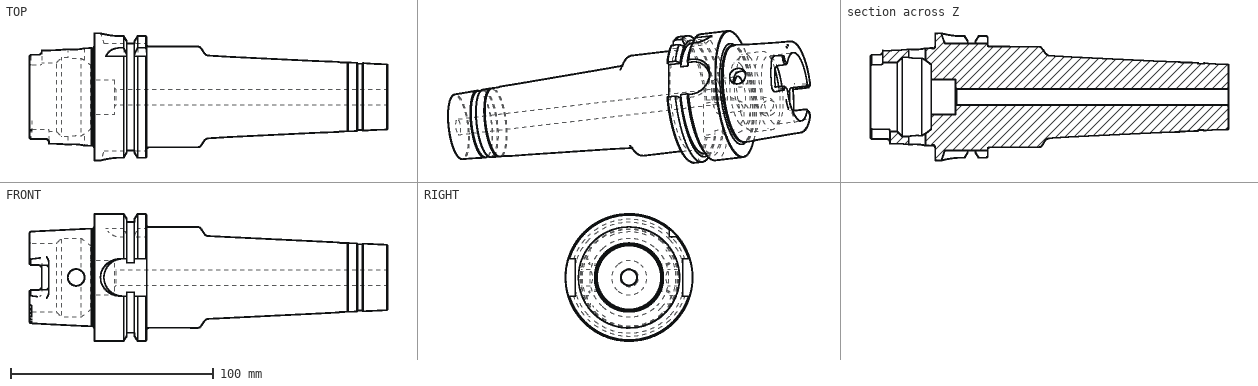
import cadquery as cq
import math


shank_length = 32.0
shank_gauge_radius = 24.0
shank_gauge_x = -6.3
shank_slope = 0.05
mouth_round = 1.1
shank_taper_end_x = -2.2
relief_radius = 23.9
relief_start_x = -1.4
relief_end_x = -0.6
relief_flank = 0.2
relief_face_radius = 25.1

flange_radius = 31.5
flange_edge_chamfer = 0.25
flange_length = 26.0
groove_center_x = 18.0
groove_floor_radius = 27.5
groove_floor_width = 3.75
groove_wall_radius = 29.0
groove_mouth_width = 6.9
flange_back_chamfer = 0.6

neck_radius = 25.0
neck_root_round = 0.8
shoulder_start_x = 52.2
shoulder_end_x = 55.2
shoulder_top_round = 2.0
shoulder_root_round = 2.0

nose_end_x = 145.01
nose_base_radius = 20.6
nose_tip_radius = 16.2
nose_tip_chamfer = 0.4
band_start_x = 120.6
band_step_length = 0.9
band_start_radius = 17.15
band_end_radius = 16.95
ring_groove_x = 125.2
ring_groove_width = 0.5
ring_groove_depth = 0.25
wide_groove_start_x = 129.8
wide_groove_end_x = 132.6
wide_groove_flank = 0.4
wide_groove_radius = 16.45

bore_radius = 17.0
bore_lip_end_x = -18.8
clamp_groove_radius = 19.5
clamp_groove_start_x = -16.3
clamp_groove_end_x = -6.6
bore_floor_radius = 15.95
bore_floor_x = -2.0
tube_seat_radius = 8.6
tube_seat_depth = 12.0
channel_radius = 3.9
channel_chamfer = 0.6

access_hole_radius = 4.1
access_hole_x = -8.9

slot_half_width = 6.1
slot_edge_round = 3.0
slot_crest_radius = 23.06
slot_end_round = 1.6
slot_mouth_chamfer = 0.7
front_slot_end_x = -22.4
rear_slot_end_x = -26.0

keyway_half_width = 9.2
keyway_floor_y = 26.5
keyway_outer_center_x = 12.3
keyway_floor_center_x = 14.0

notch_wall_y = 20.0
notch_floor_z = 20.1
notch_end_radius = 8.0
notch_center_x = 12.8

clearance = 5.0


def shank_radius(x):
    return shank_gauge_radius + shank_slope * (x - shank_gauge_x)


def nose_radius(x):
    share = (x - shoulder_end_x) / (nose_end_x - shoulder_end_x)
    return nose_base_radius + share * (nose_tip_radius - nose_base_radius)


def ring_edge(body, x, radius):
    """The circular edge of the given radius at position x along the axis."""
    tolerance = 0.01
    low = (x - tolerance, -tolerance, -tolerance)
    high = (x + tolerance, tolerance, tolerance)
    rings = body.edges("%CIRCLE").edges(cq.selectors.BoxSelector(low, high))
    return rings.filter(lambda edge: abs(edge.radius() - radius) < tolerance)


def revolve_outline(points):
    """Solid of revolution about X from (x, radius) points."""
    return cq.Workplane("XZ").polyline(points).close().revolve(360, (0, 0, 0), (1, 0, 0))


def groove_points():
    half_mouth = groove_mouth_width / 2
    half_floor = groove_floor_width / 2
    left = [
        (-half_mouth, flange_radius),
        (-half_floor, groove_wall_radius),
        (-half_floor, groove_floor_radius),
    ]
    right = [(-x, radius) for x, radius in reversed(left)]
    return [(groove_center_x + x, radius) for x, radius in left + right]


def make_body():
    land_radius = shank_radius(shank_taper_end_x)
    band_top_x = band_start_x + band_step_length
    tip_flank_x = wide_groove_end_x + wide_groove_flank
    outline = [
        (-shank_length, 0),
        (-shank_length, shank_radius(-shank_length)),
        (shank_taper_end_x, land_radius),
        (relief_start_x, land_radius),
        (relief_start_x + relief_flank, relief_radius),
        (relief_end_x, relief_radius),
        (0, relief_face_radius),
        (0, flange_radius),
        *groove_points(),
        (flange_length, flange_radius),
        (flange_length, neck_radius),
        (shoulder_start_x, neck_radius),
        (shoulder_end_x, nose_base_radius),
        (band_start_x, nose_radius(band_start_x)),
        (band_top_x, band_start_radius),
        (wide_groove_start_x, band_end_radius),
        (wide_groove_start_x + wide_groove_flank, wide_groove_radius),
        (wide_groove_end_x, wide_groove_radius),
        (tip_flank_x, nose_radius(tip_flank_x)),
        (nose_end_x, nose_tip_radius),
        (nose_end_x, 0),
    ]
    body = revolve_outline(outline)
    mouth_radius = shank_radius(-shank_length)
    body = ring_edge(body, -shank_length, mouth_radius).fillet(mouth_round)
    body = ring_edge(body, 0, flange_radius).chamfer(flange_edge_chamfer)
    body = ring_edge(body, flange_length, flange_radius).chamfer(flange_back_chamfer)
    body = ring_edge(body, flange_length, neck_radius).fillet(neck_root_round)
    body = ring_edge(body, shoulder_start_x, neck_radius).fillet(shoulder_top_round)
    body = ring_edge(body, shoulder_end_x, nose_base_radius).fillet(shoulder_root_round)
    return ring_edge(body, nose_end_x, nose_tip_radius).chamfer(nose_tip_chamfer)


def make_ring_groove():
    outer = band_start_radius + clearance
    floor = band_start_radius - ring_groove_depth
    ring = cq.Workplane("YZ").workplane(offset=ring_groove_x).circle(outer).circle(floor)
    return ring.extrude(ring_groove_width)


def make_bore():
    seat_end_x = bore_floor_x + tube_seat_depth
    return revolve_outline([
        (-shank_length, 0),
        (-shank_length, bore_radius),
        (bore_lip_end_x, bore_radius),
        (clamp_groove_start_x, clamp_groove_radius),
        (clamp_groove_end_x, clamp_groove_radius),
        (bore_floor_x, bore_floor_radius),
        (bore_floor_x, tube_seat_radius),
        (seat_end_x, tube_seat_radius),
        (seat_end_x, channel_radius + channel_chamfer),
        (seat_end_x + channel_chamfer, channel_radius),
        (nose_end_x, channel_radius),
        (nose_end_x, 0),
    ])


def make_access_hole():
    hole = cq.Workplane("XZ").center(access_hole_x, 0).circle(access_hole_radius)
    return hole.extrude(flange_radius, both=True)


def slot_profile(plane, growth):
    """Section of a -Y drive slot: straight walls whose outer edges are rounded over.

    growth widens the section by offsetting its walls and rounded edges into the material.
    """
    wall = slot_half_width + growth
    edge_round = slot_edge_round - growth
    round_z = slot_half_width + slot_edge_round
    crest_distance = slot_crest_radius - slot_edge_round
    round_y = math.sqrt(crest_distance**2 - round_z**2)
    run_angle = math.atan2(round_z, round_y)
    mid_angle = (run_angle - math.pi / 2) / 2

    def on_round(angle):
        return (round_y + edge_round * math.cos(angle), round_z + edge_round * math.sin(angle))

    mid_y, mid_z = on_round(mid_angle)
    run_y, run_z = on_round(run_angle)
    far_z = flange_radius
    far_y = run_y - (far_z - run_z) * math.tan(run_angle)
    return (
        plane.moveTo(0, -wall)
        .lineTo(-round_y, -wall)
        .threePointArc((-mid_y, -mid_z), (-run_y, -run_z))
        .lineTo(-far_y, -far_z)
        .lineTo(-flange_radius, -far_z)
        .lineTo(-flange_radius, far_z)
        .lineTo(-far_y, far_z)
        .lineTo(-run_y, run_z)
        .threePointArc((-mid_y, mid_z), (-round_y, wall))
        .lineTo(0, wall)
        .close()
    )


def make_drive_slot(end_x):
    """Cutter for a drive slot on the -Y side, running from the mouth to end_x."""
    mouth = cq.Workplane("YZ").workplane(offset=-shank_length)
    slot = slot_profile(mouth, 0).extrude(end_x + shank_length)
    slot = slot.faces(">X").edges().fillet(slot_end_round)
    flare = slot_profile(mouth, slot_mouth_chamfer)
    flare = slot_profile(flare.workplane(offset=slot_mouth_chamfer), 0).loft(ruled=True)
    return slot.union(flare)


def make_keyway():
    """Cutter for the -Y keyway: its rounded end leans toward +X as it gets deeper."""
    lean = (keyway_floor_center_x - keyway_outer_center_x) / (flange_radius - keyway_floor_y)
    depth = flange_radius - keyway_floor_y + clearance
    center_x = keyway_floor_center_x
    far_x = flange_length + clearance
    outline = (
        cq.Workplane("XZ", origin=(0, -keyway_floor_y, 0))
        .moveTo(far_x, keyway_half_width)
        .lineTo(center_x, keyway_half_width)
        .threePointArc((center_x - keyway_half_width, 0), (center_x, -keyway_half_width))
        .lineTo(far_x, -keyway_half_width)
        .close()
    )
    direction = cq.Vector(-lean * depth, -depth, 0)
    return cq.Workplane(cq.Solid.extrudeLinear(outline.val(), [], direction))


def make_notch():
    """Cutter for the single orientation notch on the +Y, +Z side of the flange."""
    far_x = flange_length + clearance
    top_z = notch_floor_z + 2 * notch_end_radius
    return (
        cq.Workplane("XZ", origin=(0, notch_wall_y, 0))
        .moveTo(far_x, notch_floor_z)
        .lineTo(notch_center_x, notch_floor_z)
        .threePointArc(
            (notch_center_x - notch_end_radius, notch_floor_z + notch_end_radius),
            (notch_center_x, top_z),
        )
        .lineTo(far_x, top_z)
        .close()
        .extrude(-flange_radius)
    )


def to_rear(cutter):
    """Turns a -Y cutter half a turn about the axis to the +Y side."""
    return cutter.rotate((0, 0, 0), (1, 0, 0), 180)


cutters = [
    make_ring_groove(),
    make_bore(),
    make_access_hole(),
    make_drive_slot(front_slot_end_x),
    to_rear(make_drive_slot(rear_slot_end_x)),
    make_keyway(),
    to_rear(make_keyway()),
    make_notch(),
]
result = make_body()
for cutter in cutters:
    result = result.cut(cutter)